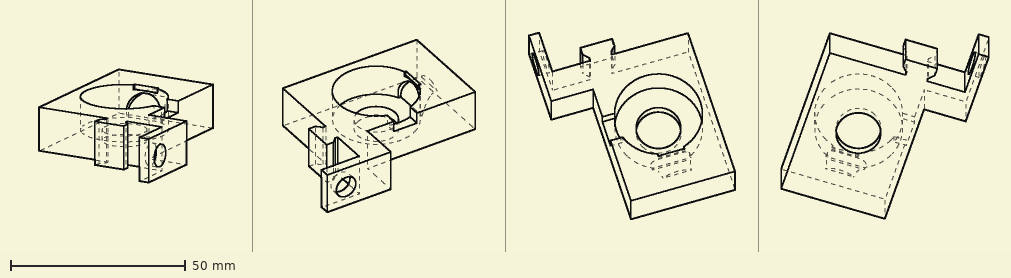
import cadquery as cq

height = 13.0
block_width = 31.3
block_depth = 45.6

overall_width = 43.9
arm_thickness = 8.9
tab_thickness = 3.1
overall_depth = 58.4
tab_length = overall_depth - block_depth
tab_hole_diameter = 6.6
tab_hole_end_distance = 6.4

rail_center_x = 26.1
rail_neck_width = 6.5
rail_width = 9.6
rail_neck_length = 0.9
rail_length = 4.75

bore_x = block_width / 2
bore_y = 21.85
bore_diameter = 25.25
through_diameter = 12.85
bore_floor_z = 3.2

notch_width = 7.8
notch_depth = 3.5

pocket_diameter = 11.7
pocket_center_z = 5.1
sill_radius = 5.85
sill_front = 12.05
sill_center_y = bore_y + sill_front + sill_radius

rim_recess_depth = 1.45


def make_body():
    """L-shaped plate: block, side arm and hanging tab."""
    outline = [
        (0, 0),
        (overall_width - tab_thickness, 0),
        (overall_width - tab_thickness, -tab_length),
        (overall_width, -tab_length),
        (overall_width, arm_thickness),
        (block_width, arm_thickness),
        (block_width, block_depth),
        (0, block_depth),
    ]
    return cq.Workplane("XY").polyline(outline).close().extrude(height)


def make_rail():
    """Dovetail rail with a straight neck and 45 degree shoulders."""
    neck = rail_neck_width / 2
    half = rail_width / 2
    shoulder_end = rail_neck_length + half - neck
    outline = [
        (-neck, 0),
        (-neck, -rail_neck_length),
        (-half, -shoulder_end),
        (-half, -rail_length),
        (half, -rail_length),
        (half, -shoulder_end),
        (neck, -rail_neck_length),
        (neck, 0),
    ]
    rail = cq.Workplane("XY").polyline(outline).close().extrude(height)
    return rail.translate((rail_center_x, 0, 0))


def make_bore():
    """Wide bore from the top and a smaller hole through its floor."""
    center = cq.Workplane("XY").center(bore_x, bore_y)
    through = center.circle(through_diameter / 2).extrude(height)
    wide = center.workplane(offset=bore_floor_z).circle(bore_diameter / 2)
    wide = wide.extrude(height - bore_floor_z)
    return through.union(wide)


def make_notch():
    """Open-topped notch joining the bore to the +X face."""
    size = (block_width - bore_x, notch_width, notch_depth)
    notch = cq.Workplane("XY").box(*size, centered=(False, True, False))
    return notch.translate((bore_x, bore_y, height - notch_depth))


def make_sill():
    """Quarter-round sill at the pocket mouth, bulging slightly into the bore."""
    start = cq.Vector(bore_x - pocket_diameter / 2, sill_center_y, bore_floor_z)
    roll = cq.Solid.makeCylinder(sill_radius, pocket_diameter, start, cq.Vector(1, 0, 0))
    quarter = cq.Workplane("XY").box(pocket_diameter, sill_radius, sill_radius, centered=(True, False, False))
    quarter = quarter.translate((bore_x, sill_center_y - sill_radius, bore_floor_z))
    return quarter.intersect(cq.Workplane(roll))


def make_side_pocket():
    """Blind round pocket in the +Y bore wall, ending at the crest of the sill."""
    start = cq.Vector(bore_x, bore_y, pocket_center_z)
    length = sill_center_y - bore_y
    pocket = cq.Solid.makeCylinder(pocket_diameter / 2, length, start, cq.Vector(0, 1, 0))
    below_floor = cq.Workplane("XY").box(block_width, block_depth, bore_floor_z, centered=False)
    return cq.Workplane(pocket).cut(below_floor)


def make_rim_recess():
    """Shallow flat-backed recess at the +Y side of the bore rim."""
    size = (notch_width, bore_diameter / 2, rim_recess_depth)
    recess = cq.Workplane("XY").box(*size, centered=(True, False, False))
    return recess.translate((bore_x, bore_y, height - rim_recess_depth))


def make_tab_hole():
    """Hole through the tab along X."""
    start = cq.Vector(overall_width - tab_thickness, tab_hole_end_distance - tab_length, height / 2)
    return cq.Solid.makeCylinder(tab_hole_diameter / 2, tab_thickness, start, cq.Vector(1, 0, 0))


result = make_body().union(make_rail())
result = result.cut(make_bore()).cut(make_notch())
result = result.cut(make_side_pocket()).cut(make_rim_recess())
result = result.union(make_sill())
result = result.cut(make_tab_hole())